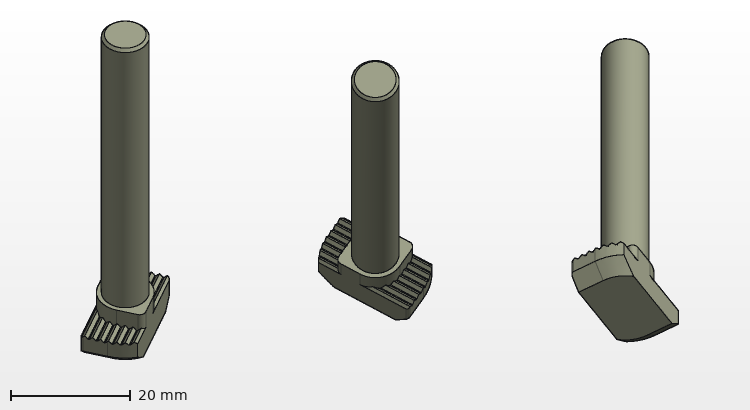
import cadquery as cq

total_height = 65.8
head_width = 9.7
head_length = 19.0
shaft_diameter = 8.0
shaft_tip_chamfer = 0.5
neck_top = 8.9
neck_corner_radius = 1.05
tooth_root_height = 5.3
tooth_depth = 0.6
tooth_root_flat = 0.21
tooth_count = 7
bottom_chamfer = 2.5
head_corner_radius = 0.5

half_width = head_width / 2
half_length = head_length / 2
tooth_pitch = tooth_root_flat + 2 * tooth_depth
tooth_crest_height = tooth_root_height + tooth_depth


def make_toothed_bar():
    """Head bar: bevelled ends seen along X, sawtooth ridges running along Y."""
    profile = cq.Workplane("XZ").moveTo(-half_width, 0).lineTo(-half_width, tooth_root_height)
    for tooth in range(tooth_count):
        flank_x = -half_width + tooth * tooth_pitch + tooth_root_flat
        profile = profile.lineTo(flank_x, tooth_root_height)
        profile = profile.lineTo(flank_x + tooth_depth, tooth_crest_height)
        profile = profile.lineTo(flank_x + 2 * tooth_depth, tooth_root_height)
    last_root_x = -half_width + tooth_count * tooth_pitch
    bar = profile.lineTo(last_root_x, 0).close().extrude(half_length, both=True)

    bevelled_ends = (
        cq.Workplane("YZ")
        .polyline([
            (-half_length + bottom_chamfer, 0),
            (half_length - bottom_chamfer, 0),
            (half_length, bottom_chamfer),
            (half_length, tooth_crest_height),
            (-half_length, tooth_crest_height),
            (-half_length, bottom_chamfer),
        ])
        .close()
        .extrude(half_width, both=True)
    )
    return bar.intersect(bevelled_ends)


def make_turning_envelope():
    """Limits the bar so that it can turn in the slot: two opposite corners
    follow a circle about the shaft axis, with a conical lower edge."""
    turned_disc = (
        cq.Workplane("XY")
        .circle(half_length)
        .extrude(tooth_crest_height)
        .faces("<Z")
        .chamfer(bottom_chamfer)
    )
    rounded_bar = (
        cq.Workplane("XY")
        .rect(head_width, head_length)
        .extrude(tooth_crest_height)
        .edges("|Z")
        .fillet(head_corner_radius)
    )
    plain_quarters = (
        cq.Workplane("XY")
        .pushPoints([
            (-half_width / 2, -half_length / 2),
            (half_width / 2, half_length / 2),
        ])
        .rect(half_width, half_length)
        .extrude(tooth_crest_height)
    )
    return turned_disc.union(rounded_bar.intersect(plain_quarters))


def make_neck():
    """Square neck with two fully rounded corners and two lightly rounded ones."""
    square_corners = (
        cq.Workplane("XY")
        .rect(head_width, head_width)
        .extrude(neck_top)
        .edges("|Z")
        .fillet(neck_corner_radius)
    )
    rounded_envelope = (
        cq.Workplane("XY")
        .moveTo(-half_width, 0)
        .radiusArc((0, -half_width), -half_width)
        .lineTo(half_width, -half_width)
        .lineTo(half_width, 0)
        .radiusArc((0, half_width), -half_width)
        .lineTo(-half_width, half_width)
        .close()
        .extrude(neck_top)
    )
    return square_corners.intersect(rounded_envelope)


def make_shaft():
    """Round shaft rising from the neck, with a chamfered tip."""
    return (
        cq.Workplane("XY")
        .workplane(offset=neck_top)
        .circle(shaft_diameter / 2)
        .extrude(total_height - neck_top)
        .faces(">Z")
        .chamfer(shaft_tip_chamfer)
    )


head = make_toothed_bar().intersect(make_turning_envelope())
result = head.union(make_neck()).union(make_shaft())